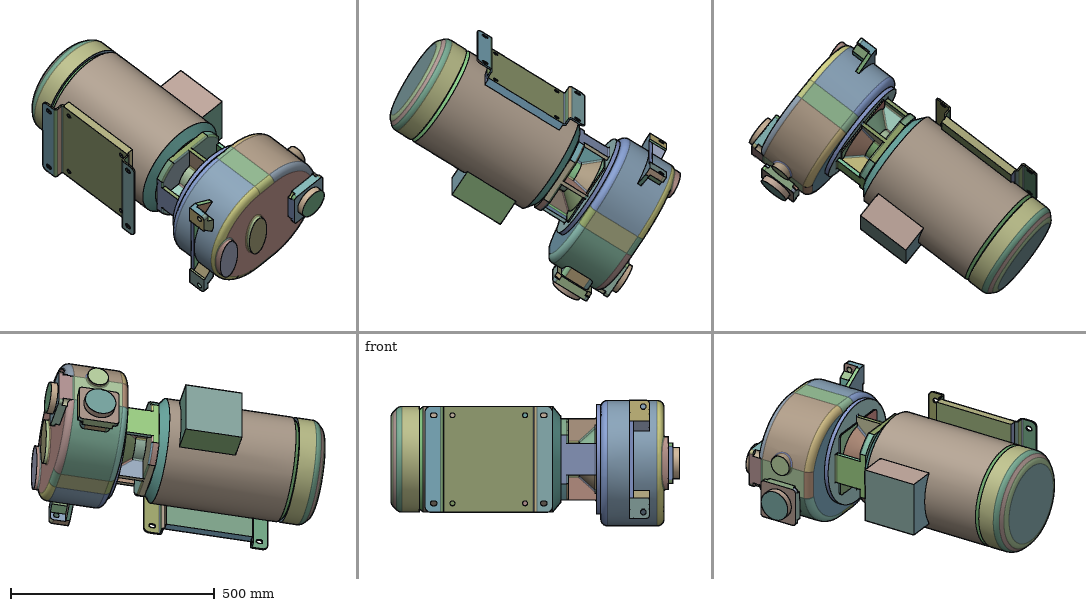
import cadquery as cq
import math


TOTAL_LENGTH = 708.5
TOTAL_DEPTH = 396.0
SHAFT_HEIGHT = 160.0

MOTOR_RADIUS = 130.0
MOTOR_END = 416.8
FAN_COVER_BEVEL = 28.0
FAN_COVER_FILLET = 20.0
GROOVE_START = 70.0
GROOVE_END = 79.5
GROOVE_DEPTH = 8.0
MOTOR_TAPER_START = 397.0
MOTOR_TAPER_DEPTH = 24.0

BOX_START = 226.8
BOX_END = 368.2
BOX_TOP = 180.0
BOX_HEIGHT = 141.0

BASE_CENTRE = 240.2
BASE_LENGTH = 312.0
BASE_WIDTH = 2 * MOTOR_RADIUS
SHEET = 4.0
LEG_SPAN = 231.0
BASE_RISE = 27.5
BEND_INNER_RADIUS = 2.5
BEND_OUTER_RADIUS = BEND_INNER_RADIUS + SHEET
BASE_CORNER_RADIUS = 14.0
SADDLE_LENGTH = 217.0
SADDLE_TOP = -117.0
BASE_HOLE_DIAMETER = 12.0
BASE_HOLE_Z = 108.0
PLATE_HOLE_SPACING = 178.0
SLOT_SPACING = 270.0
SLOT_LENGTH = 16.0

LANTERN_START = MOTOR_END
LANTERN_HALF = 100.0
LANTERN_DISC_END = 435.5
LANTERN_DISC_RADIUS = 116.6
LANTERN_FILLET = 4.0
WEB_THICKNESS = 9.6
SIDE_PLATE_WIDTH = 78.0
SIDE_PLATE_THICKNESS = 9.0
HUB_RADIUS = 41.5
HUB_CONE_START = 462.5
HUB_CONE_RADIUS = 78.5
PAD_START = 500.5
PAD_HALF = 84.0
PAD_CORNER_RADIUS = 10.0
FLANGE_START = 504.0
FLANGE_RADIUS = 134.5

CASING_START = 514.8
CASING_END = 670.2
CASING_RADIUS = 154.0
CASING_CENTRE_Z = -9.5
CASING_SPREAD = 51.0
CASING_TOP = 200.5
CASING_FILLET = 17.0

PORT_DIAMETER = 77.0
PORT_FLANGE_SIDE = 100.0
PORT_FLANGE_THICKNESS = 22.0
PORT_RIM = 16.5
PORT_CORNER_RADIUS = 8.5
PORT_RELIEF_RADIUS = 12.5
PORT_NECK_SIDE = 77.5
PORT_NECK_FILLET = 12.0
PORT_NECK_LENGTH = 100.0
PORT_TOP_X = 595.5
PORT_TOP_Z = -69.5
PORT_END_Y = 150.0
PORT_END_EMBED = 40.0

PLUG_DIAMETER = 52.0
PLUG_TOP = 210.0
PLUG_Z = 30.2
PLUG_DEPTH = 60.0
COVER_END = 681.0
COVER_WIDTH = 61.0
COVER_HEIGHT = 130.0
COVER_CENTRES_Y = (-17.0, -119.5)
COVER_EMBED = 30.0
BOSS_FILLET = 3.0

FOOT_START = 585.8
FOOT_END = 634.3
FOOT_WEB_THICKNESS = 10.0
FOOT_WEB_FRONT = -155.0
FOOT_HALF_HEIGHT = 145.0
FOOT_SHOULDER_Y = -140.0
FOOT_SHOULDER_SLOPE = 0.6
FOOT_WEB_BACK = -60.0
FOOT_PAD_BACK = -145.0
FOOT_BLOCK_BACK = -126.7
FOOT_BLOCK_INNER_Z = 94.5
FOOT_BLOCK_INNER_SLOPE = 1.07
FOOT_BLOCK_TOP_Z = 122.0
FOOT_CORNER_RADIUS = 8.5
FOOT_HOLE_X = 619.2
FOOT_HOLE_Z = 129.5
FOOT_HOLE_DIAMETER = 13.5


def box(x0, x1, y0, y1, z0, z1):
    return cq.Workplane("XY").box(x1 - x0, y1 - y0, z1 - z0, centered=False).translate((x0, y0, z0))


def yz_plane(x, y=0.0, z=0.0):
    """Plane facing +X; its local axes are Y and Z."""
    return cq.Workplane(cq.Plane(origin=(x, y, z), xDir=(0, 1, 0), normal=(1, 0, 0)))


def xz_plane(y, x=0.0, z=0.0):
    """Plane facing +Y; its local axes are -X and Z."""
    return cq.Workplane(cq.Plane(origin=(x, y, z), xDir=(-1, 0, 0), normal=(0, 1, 0)))


def make_motor():
    bevel_end = (FAN_COVER_BEVEL, MOTOR_RADIUS)
    face_radius = MOTOR_RADIUS - FAN_COVER_BEVEL
    blend_width = FAN_COVER_FILLET * math.sin(math.radians(45))
    blend_depth = FAN_COVER_FILLET * (1 - math.cos(math.radians(45)))
    mid_width = FAN_COVER_FILLET * math.sin(math.radians(22.5))
    mid_depth = FAN_COVER_FILLET * (1 - math.cos(math.radians(22.5)))
    profile = (
        cq.Workplane("XZ")
        .lineTo(0, face_radius)
        .threePointArc((mid_depth, face_radius + mid_width), (blend_depth, face_radius + blend_width))
        .lineTo(FAN_COVER_BEVEL - blend_width, MOTOR_RADIUS - blend_depth)
        .threePointArc((FAN_COVER_BEVEL - mid_width, MOTOR_RADIUS - mid_depth), bevel_end)
        .lineTo(GROOVE_START, MOTOR_RADIUS)
        .lineTo(GROOVE_START, MOTOR_RADIUS - GROOVE_DEPTH)
        .lineTo(GROOVE_END, MOTOR_RADIUS)
        .lineTo(MOTOR_TAPER_START, MOTOR_RADIUS)
        .lineTo(MOTOR_END, MOTOR_RADIUS - MOTOR_TAPER_DEPTH)
        .lineTo(MOTOR_END, 0)
        .close()
    )
    body = profile.revolve(360, (0, 0, 0), (1, 0, 0))
    half_height = BOX_HEIGHT / 2
    return body.union(box(BOX_START, BOX_END, 0, BOX_TOP, -half_height, half_height))


def make_base():
    half_length = BASE_LENGTH / 2
    half_legs = LEG_SPAN / 2
    half_width = BASE_WIDTH / 2
    plate_y = BASE_RISE - SHEET
    sheet = (
        cq.Workplane("XY")
        .moveTo(-half_length, 0)
        .lineTo(-half_legs + SHEET, 0)
        .lineTo(-half_legs + SHEET, plate_y)
        .lineTo(half_legs - SHEET, plate_y)
        .lineTo(half_legs - SHEET, 0)
        .lineTo(half_length, 0)
        .lineTo(half_length, SHEET)
        .lineTo(half_legs, SHEET)
        .lineTo(half_legs, BASE_RISE)
        .lineTo(-half_legs, BASE_RISE)
        .lineTo(-half_legs, SHEET)
        .lineTo(-half_length, SHEET)
        .close()
        .extrude(half_width, both=True)
    )
    for side in (-1, 1):
        inner = side * (half_legs - SHEET)
        outer = side * half_legs
        for x, y, radius in (
            (inner, 0, BEND_OUTER_RADIUS),
            (inner, plate_y, BEND_INNER_RADIUS),
            (outer, SHEET, BEND_INNER_RADIUS),
            (outer, BASE_RISE, BEND_OUTER_RADIUS),
        ):
            sheet = sheet.edges(cq.selectors.NearestToPointSelector((x, y, 0))).fillet(radius)
    sheet = sheet.edges("|Y").edges("<X or >X").fillet(BASE_CORNER_RADIUS)

    holes = (
        xz_plane(-1)
        .rarray(PLATE_HOLE_SPACING, 2 * BASE_HOLE_Z, 2, 2)
        .circle(BASE_HOLE_DIAMETER / 2)
        .extrude(BASE_RISE + 2)
    )
    slots = (
        xz_plane(-1)
        .rarray(SLOT_SPACING, 2 * BASE_HOLE_Z, 2, 2)
        .slot2D(SLOT_LENGTH, BASE_HOLE_DIAMETER)
        .extrude(SHEET + 2)
    )
    sheet = sheet.cut(holes).cut(slots).translate((BASE_CENTRE, -SHAFT_HEIGHT, 0))
    half_saddle = SADDLE_LENGTH / 2
    saddle = box(
        BASE_CENTRE - half_saddle, BASE_CENTRE + half_saddle,
        BASE_RISE - SHAFT_HEIGHT, SADDLE_TOP,
        -half_width, half_width,
    )
    return sheet.union(saddle)


def make_lantern():
    side = 2 * LANTERN_HALF
    disc_length = LANTERN_DISC_END - LANTERN_START
    disc = yz_plane(LANTERN_START).circle(LANTERN_DISC_RADIUS).extrude(disc_length)
    disc = disc.intersect(yz_plane(LANTERN_START).rect(side, side).extrude(disc_length))
    disc = disc.faces(">X").edges().fillet(LANTERN_FILLET)

    web_length = FLANGE_START - LANTERN_START
    webs = yz_plane(LANTERN_START).rect(side, WEB_THICKNESS).extrude(web_length)
    webs = webs.union(yz_plane(LANTERN_START).rect(WEB_THICKNESS, side).extrude(web_length))
    plate_offset = LANTERN_HALF - SIDE_PLATE_THICKNESS / 2
    for y in (-plate_offset, plate_offset):
        plate = yz_plane(LANTERN_START, y).rect(SIDE_PLATE_THICKNESS, SIDE_PLATE_WIDTH)
        webs = webs.union(plate.extrude(web_length))

    hub = (
        cq.Workplane("XY")
        .moveTo(LANTERN_START, 0)
        .lineTo(LANTERN_START, HUB_RADIUS)
        .lineTo(HUB_CONE_START, HUB_RADIUS)
        .lineTo(FLANGE_START, HUB_CONE_RADIUS)
        .lineTo(FLANGE_START, 0)
        .close()
        .revolve(360, (0, 0, 0), (1, 0, 0))
    )
    hub_joints = cq.selectors.BoxSelector(
        (LANTERN_DISC_END, -PAD_HALF, -PAD_HALF), (FLANGE_START, PAD_HALF, PAD_HALF)
    )
    plate_joints = cq.selectors.BoxSelector(
        (LANTERN_DISC_END, 1 - LANTERN_HALF, -WEB_THICKNESS),
        (FLANGE_START, LANTERN_HALF - 1, WEB_THICKNESS),
    )
    core = webs.union(hub)
    core = core.edges("not %CIRCLE").edges(hub_joints + plate_joints).fillet(LANTERN_FILLET)
    pad = (
        yz_plane(PAD_START)
        .rect(2 * PAD_HALF, 2 * PAD_HALF)
        .extrude(FLANGE_START - PAD_START)
        .edges("|X")
        .fillet(PAD_CORNER_RADIUS)
    )
    flange = yz_plane(FLANGE_START).circle(FLANGE_RADIUS).extrude(CASING_START - FLANGE_START)
    lantern = disc.union(core).union(pad).union(flange)
    for y, z in ((LANTERN_HALF, 0), (-LANTERN_HALF, 0), (0, LANTERN_HALF), (0, -LANTERN_HALF)):
        joint = cq.selectors.NearestToPointSelector((FLANGE_START, y, z))
        lantern = lantern.edges(joint).fillet(FLANGE_START - PAD_START)
    return lantern


def make_casing():
    """Two half circles joined by straights, with the +Y side cut off flat."""
    flat_offset = CASING_TOP - CASING_SPREAD
    half_flat = math.sqrt(CASING_RADIUS**2 - flat_offset**2)
    arc_mid = CASING_RADIUS * math.sqrt(0.5)
    return (
        yz_plane(CASING_START, 0, CASING_CENTRE_Z)
        .moveTo(0, -CASING_RADIUS)
        .lineTo(CASING_SPREAD, -CASING_RADIUS)
        .threePointArc((CASING_SPREAD + arc_mid, -arc_mid), (CASING_TOP, -half_flat))
        .lineTo(CASING_TOP, half_flat)
        .threePointArc((CASING_SPREAD + arc_mid, arc_mid), (CASING_SPREAD, CASING_RADIUS))
        .lineTo(0, CASING_RADIUS)
        .threePointArc((-CASING_RADIUS, 0), (0, -CASING_RADIUS))
        .close()
        .extrude(CASING_END - CASING_START)
        .faces("<X or >X")
        .edges()
        .fillet(CASING_FILLET)
    )


def make_port(plane, embed):
    """Port along the plane's normal: square flange with relieved bolt corners, and a round rim.

    The plane is the back of the flange; embed is how far the relieved part goes behind it.
    """
    half_thickness = PORT_FLANGE_THICKNESS / 2
    back = (
        plane.workplane(offset=-embed)
        .rect(PORT_FLANGE_SIDE, PORT_FLANGE_SIDE)
        .extrude(embed + half_thickness)
    )
    reliefs = (
        plane.workplane(offset=-embed)
        .rarray(PORT_FLANGE_SIDE, PORT_FLANGE_SIDE, 2, 2)
        .circle(PORT_RELIEF_RADIUS)
        .extrude(embed + half_thickness)
    )
    front = (
        plane.workplane(offset=half_thickness)
        .sketch()
        .rect(PORT_FLANGE_SIDE, PORT_FLANGE_SIDE)
        .vertices()
        .fillet(PORT_CORNER_RADIUS)
        .finalize()
        .extrude(half_thickness)
    )
    rim = (
        plane.workplane(offset=PORT_FLANGE_THICKNESS)
        .circle(PORT_DIAMETER / 2)
        .extrude(PORT_RIM)
    )
    return back.cut(reliefs).union(front).union(rim)


def make_top_port():
    flange_back = TOTAL_DEPTH - SHAFT_HEIGHT - PORT_RIM - PORT_FLANGE_THICKNESS
    port = make_port(xz_plane(flange_back, PORT_TOP_X, PORT_TOP_Z), 0)
    neck = (
        xz_plane(flange_back - PORT_NECK_LENGTH, PORT_TOP_X, PORT_TOP_Z)
        .rect(PORT_NECK_SIDE, PORT_NECK_SIDE)
        .extrude(PORT_NECK_LENGTH)
        .edges("|Y")
        .fillet(PORT_NECK_FILLET)
    )
    return port.union(neck)


def make_end_port():
    flange_back = TOTAL_LENGTH - PORT_RIM - PORT_FLANGE_THICKNESS
    return make_port(yz_plane(flange_back, PORT_END_Y, CASING_CENTRE_Z), PORT_END_EMBED)


def make_plug():
    plane = xz_plane(PLUG_TOP - PLUG_DEPTH, PORT_TOP_X, PLUG_Z)
    return plane.circle(PLUG_DIAMETER / 2).extrude(PLUG_DEPTH)


def make_cover(y):
    plane = yz_plane(CASING_END - COVER_EMBED, y, CASING_CENTRE_Z)
    return plane.ellipse(COVER_WIDTH / 2, COVER_HEIGHT / 2).extrude(COVER_END - CASING_END + COVER_EMBED)


def shoulder_z(y):
    """Height of the foot's sloping outer side, above the shaft axis."""
    return FOOT_HALF_HEIGHT - FOOT_SHOULDER_SLOPE * (y - FOOT_SHOULDER_Y)


def make_foot_block():
    """Rounded bolt pad with a lower sloping block behind it, reaching into the casing."""
    pad = box(
        FOOT_START, FOOT_END, -SHAFT_HEIGHT, FOOT_PAD_BACK, FOOT_BLOCK_INNER_Z, FOOT_HALF_HEIGHT
    )
    pad = pad.edges("|Y and >X and >Z").fillet(FOOT_CORNER_RADIUS)
    hole = (
        xz_plane(-SHAFT_HEIGHT, FOOT_HOLE_X, FOOT_HOLE_Z)
        .circle(FOOT_HOLE_DIAMETER / 2)
        .extrude(FOOT_PAD_BACK + SHAFT_HEIGHT)
    )
    block_back_top_z = FOOT_BLOCK_TOP_Z - FOOT_SHOULDER_SLOPE * (FOOT_BLOCK_BACK - FOOT_PAD_BACK)
    inner_back_z = FOOT_BLOCK_INNER_Z - FOOT_BLOCK_INNER_SLOPE * (FOOT_BLOCK_BACK - FOOT_WEB_FRONT)
    outline = [
        (FOOT_WEB_FRONT, FOOT_BLOCK_INNER_Z),
        (FOOT_WEB_FRONT, FOOT_BLOCK_TOP_Z),
        (FOOT_PAD_BACK, FOOT_BLOCK_TOP_Z),
        (FOOT_BLOCK_BACK, block_back_top_z),
        (FOOT_BLOCK_BACK, inner_back_z),
    ]
    block = yz_plane(FOOT_START).polyline(outline).close().extrude(FOOT_END - FOOT_START)
    return pad.cut(hole).union(block)


def make_foot():
    block = make_foot_block()
    back_z = shoulder_z(FOOT_WEB_BACK)
    web_outline = [
        (FOOT_WEB_FRONT, -FOOT_HALF_HEIGHT),
        (FOOT_SHOULDER_Y, -FOOT_HALF_HEIGHT),
        (FOOT_WEB_BACK, -back_z),
        (FOOT_WEB_BACK, back_z),
        (FOOT_SHOULDER_Y, FOOT_HALF_HEIGHT),
        (FOOT_WEB_FRONT, FOOT_HALF_HEIGHT),
    ]
    web = yz_plane(FOOT_START).polyline(web_outline).close().extrude(FOOT_WEB_THICKNESS)
    return web.union(block).union(block.mirror("XY"))


def blend_joint(body, low_corner, high_corner):
    """Round the edges whose centres lie in the given box, where a boss meets the casing."""
    return body.edges(cq.selectors.BoxSelector(low_corner, high_corner)).fillet(BOSS_FILLET)


def make_pump():
    """Casing with its plug and covers blended in, then the ports and the foot."""
    half_plug = PLUG_DIAMETER / 2 + BOSS_FILLET
    pump = blend_joint(
        make_casing().union(make_plug()),
        (PORT_TOP_X - half_plug, CASING_TOP - CASING_FILLET, PLUG_Z - half_plug),
        (PORT_TOP_X + half_plug, CASING_TOP + 1, PLUG_Z + half_plug),
    )
    half_width = COVER_WIDTH / 2 + BOSS_FILLET
    half_height = COVER_HEIGHT / 2 + BOSS_FILLET
    for y in COVER_CENTRES_Y:
        pump = blend_joint(
            pump.union(make_cover(y)),
            (CASING_END - COVER_EMBED, y - half_width, CASING_CENTRE_Z - half_height),
            (CASING_END + 1, y + half_width, CASING_CENTRE_Z + half_height),
        )
    return pump.union(make_top_port()).union(make_end_port()).union(make_foot())


result = make_motor().union(make_base()).union(make_lantern()).union(make_pump())